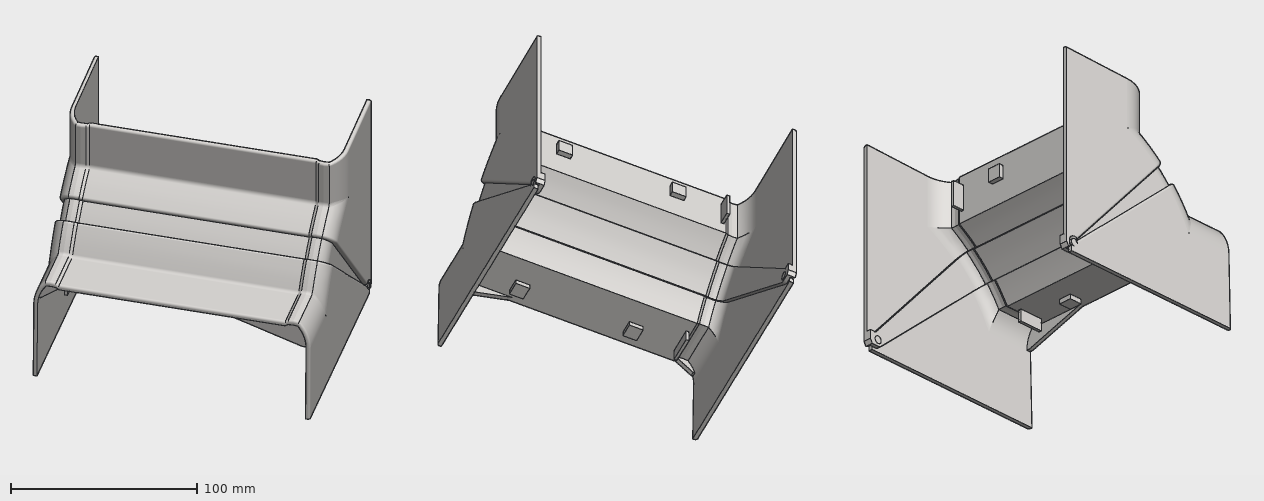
import cadquery as cq
import math


WIDTH = 154.5
HALF = WIDTH / 2
LEG = 125.0
WALL = 2.5
END_SLANT = 1.5
EDGE_ROUND = 1.4
VALLEY_ROUND = 2.8

FILLET_END = 6.5
RIDGE_END = 12.5
STEP_END = 14.2
INNER_SHIFT = 0.6

PEAK_RISE = 0.3
FACE_DROP = 1.1
LEG_FLANK = 46.0
LEG_CREST = 61.8
RAMP_FLANK = 95.5
RAMP_CREST = 106.6

HINGE = 5.9
PIN_RADIUS = 2.3
HOLE_CHAMFER = 1.5
UPPER_SEAM = 48.4
LOWER_SEAM = 90 - UPPER_SEAM
OVERLAP = 4.0
HOOK_BOTTOM = HINGE - OVERLAP
HOOK_CORNER = (1.4, 2.6)
HEEL_START = 3.7

RIB_INSET = 15.6
RIB_WIDTH = 1.7
RIB_TIP = 50.8
RIB_LENGTH = 15.5
LUG_INSET = 39.4
LUG_WIDTH = 8.2
LUG_TIP = 55.3
LUG_LENGTH = LUG_WIDTH
END_INSET = 7.7

GUSSET_FRONT = 123.4
LEFT_GUSSET = [(4.0, 51.0), (13.5, 58.2)]
RIGHT_GUSSET = [(4.6, 46.3), (43.2, 58.4)]

FAR = 3 * LEG
DIAGONAL = (0, 1, 1)


def section(plane, flank, crest, inset):
    """Filled cross-section, set inwards by `inset`, opening at depth 0."""
    side = HALF - inset
    start = HALF - FILLET_END - INNER_SHIFT * inset / WALL
    ridge = HALF - RIDGE_END
    step = HALF - STEP_END
    top = crest - inset
    face = top - FACE_DROP
    middle = (start + ridge) / 2
    run = side - start
    rise = top - flank
    radius = (run**2 + rise**2) / (2 * run)
    half_angle = math.asin(rise / radius) / 2
    bend = (side - radius * (1 - math.cos(half_angle)), flank + radius * math.sin(half_angle))
    return (
        plane.moveTo(-side, 0)
        .lineTo(-side, flank)
        .threePointArc((-bend[0], bend[1]), (-start, top))
        .lineTo(-middle, top + PEAK_RISE)
        .lineTo(-ridge, top)
        .lineTo(-step, face)
        .lineTo(step, face)
        .lineTo(ridge, top)
        .lineTo(middle, top + PEAK_RISE)
        .lineTo(start, top)
        .threePointArc(bend, (side, flank))
        .lineTo(side, 0)
        .close()
    )


def envelope(inset):
    """Everything inside the cover surface: two straight legs and the round ramp between."""
    wall_plane = cq.Workplane(cq.Plane((0, 0, 0), (-1, 0, 0), (0, 0, 1)))
    floor_plane = cq.Workplane(cq.Plane((0, 0, 0), (1, 0, 0), (0, -1, 0)))
    ramp_plane = cq.Workplane(cq.Plane((0, -HINGE, HINGE), (1, 0, 0), (0, -1, 0)))
    upper_leg = section(wall_plane, LEG_FLANK, LEG_CREST, inset).extrude(LEG)
    lower_leg = section(floor_plane, LEG_FLANK, LEG_CREST, inset).extrude(LEG)
    ramp = section(ramp_plane, RAMP_FLANK, RAMP_CREST, inset).revolve(90, (0, 0), (1, 0))
    return upper_leg.union(lower_leg).union(ramp)


def side_prism(points):
    """Prism across the whole width over (depth, height) points."""
    outline = [(-depth, height) for depth, height in points]
    return cq.Workplane("YZ").polyline(outline).close().extrude(WIDTH, both=True)


def seam_point(angle, distance, offset=0.0):
    """(depth, height) at `distance` from the hinge along a seam, `offset` above the seam."""
    a = math.radians(angle)
    depth = HINGE + distance * math.cos(a) - offset * math.sin(a)
    height = HINGE + distance * math.sin(a) + offset * math.cos(a)
    return depth, height


def above_upper_seam():
    corners = [(-FAR, 0), (FAR, 0), (FAR, FAR), (-FAR, FAR)]
    return side_prism([seam_point(UPPER_SEAM, along, up) for along, up in corners])


OUTER = envelope(0)
INNER = envelope(WALL)
TONGUE_INNER = envelope(2 * WALL)
UPPER_SIDE = above_upper_seam()


def round_valley(solid):
    """Round the inside corner where the upper leg's ridges and face meet the ramp."""
    valley_height = HINGE + math.sqrt(RAMP_CREST**2 - (LEG_CREST - HINGE) ** 2)
    around_valley = cq.selectors.BoxSelector(
        (-HALF, -LEG_CREST - VALLEY_ROUND, valley_height - VALLEY_ROUND),
        (HALF, -LEG_FLANK - VALLEY_ROUND, valley_height + VALLEY_ROUND),
    )
    return solid.edges(around_valley).fillet(VALLEY_ROUND)


def half_cover():
    """Shell from the upper seam to the free end, outer edges rounded."""
    double_crest = 2 * LEG_CREST
    end_waste = side_prism([(0, LEG), (double_crest, LEG - 2 * END_SLANT), (double_crest, FAR), (0, FAR)])
    solid = round_valley(OUTER).intersect(UPPER_SIDE).cut(end_waste)
    solid = solid.faces(">Z").edges("not >Y").fillet(EDGE_ROUND)
    a = math.radians(UPPER_SEAM)
    seam_normal = cq.Vector(0, -math.sin(a), -math.cos(a))
    seam_edges = solid.faces(cq.DirectionMinMaxSelector(seam_normal)).edges("not >Y")
    return seam_edges.fillet(EDGE_ROUND).cut(INNER)


def hanging_block(inset, width, tip, length):
    """Block under the leg's cover face, near the left side and the free end."""
    block = cq.Workplane().box(width, LEG_CREST - tip, length, centered=False)
    block = block.translate((inset - HALF, -LEG_CREST, LEG - END_INSET - length))
    return block.intersect(INNER)


def cover_with_blocks():
    cover = half_cover()
    for block in (
        hanging_block(RIB_INSET, RIB_WIDTH, RIB_TIP, RIB_LENGTH),
        hanging_block(LUG_INSET, LUG_WIDTH, LUG_TIP, LUG_LENGTH),
    ):
        cover = cover.union(block).union(block.mirror("YZ"))
    return cover


def hinge_cylinder(radius, length):
    """Cylinder on the hinge axis, starting at the left side."""
    return cq.Workplane("YZ", origin=(-HALF, -HINGE, HINGE)).circle(radius).extrude(length)


def tongue():
    """Inner layer that closes the gap between the seams and runs behind both covers."""
    strip = side_prism(
        [
            seam_point(UPPER_SEAM, 0, OVERLAP),
            seam_point(UPPER_SEAM, FAR, OVERLAP),
            seam_point(LOWER_SEAM, FAR, -OVERLAP),
            seam_point(LOWER_SEAM, 0, -OVERLAP),
        ]
    )
    heel = side_prism(
        [(0, HOOK_BOTTOM), (HINGE, HOOK_BOTTOM), (HINGE, HINGE + OVERLAP), (0, HINGE + OVERLAP)]
    )
    region = strip.union(heel).union(hinge_cylinder(OVERLAP, WIDTH))
    return INNER.cut(TONGUE_INNER).intersect(region)


def hook_waste():
    """What is cut away below the hook that reaches around the hinge pin."""
    run, rise = HOOK_CORNER
    return side_prism(
        [(0, 0), (0, HOOK_BOTTOM + rise), (run, HOOK_BOTTOM), (HINGE, HOOK_BOTTOM), (HINGE, 0)]
    )


def pin_hole():
    """Left hinge hole through flank and tongue, chamfered on the outside."""
    mouth = cq.Workplane("YZ", origin=(-HALF, -HINGE, HINGE)).circle(PIN_RADIUS + HOLE_CHAMFER)
    mouth = mouth.workplane(offset=HOLE_CHAMFER).circle(PIN_RADIUS).loft()
    return hinge_cylinder(PIN_RADIUS, 2 * WALL).union(mouth)


def make_upper_cover():
    cover = cover_with_blocks().union(tongue()).cut(hook_waste())
    hole = pin_hole()
    return cover.cut(hole).cut(hole.mirror("YZ"))


def gusset(lower_edge):
    """Plate in the mouth of the lower cover's left corner."""
    start, end = lower_edge
    outline = [(0, start[1]), start, end, (end[0], LEG_CREST), (0, LEG_CREST)]
    plane = cq.Workplane("XZ", origin=(-HALF, WALL - GUSSET_FRONT, 0))
    return plane.polyline(outline).close().extrude(WALL).intersect(INNER)


def make_lower_cover():
    heel_waste = side_prism([(0, 0), (HEEL_START, 0), (HEEL_START, LEG), (0, LEG)])
    cover = cover_with_blocks().mirror(DIAGONAL).cut(heel_waste).cut(UPPER_SIDE)
    cover = cover.union(gusset(LEFT_GUSSET)).union(gusset(RIGHT_GUSSET).mirror("YZ"))
    pin = hinge_cylinder(PIN_RADIUS, 2 * WALL)
    return cover.union(pin).union(pin.mirror("YZ"))


upper_cover = make_upper_cover()
lower_cover = make_lower_cover()

result = cq.Compound.makeCompound([upper_cover.solids().val(), lower_cover.solids().val()])